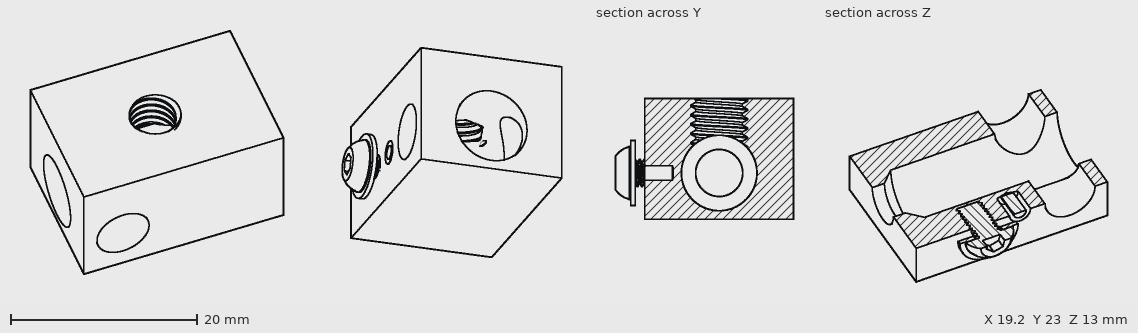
import cadquery as cq
import math

BLOCK_X = 16.0
BLOCK_Y = 23.0
BLOCK_Z = 13.0
CROSS_HEIGHT = 5.0

BORE_X = BLOCK_X / 2
BORE_LARGE_DIAMETER = 8.1
BORE_SMALL_DIAMETER = 5.04
BORE_LARGE_DEPTH = 20.0
BORE_SHOULDER_ANGLE = 90.0

CROSS_HOLE_Y = 4.5
CROSS_HOLE_DIAMETER = 6.0

TOP_HOLE_Y = 11.0
TOP_MINOR_DIAMETER = 5.04
TOP_MAJOR_DIAMETER = 6.15
TOP_PITCH = 1.0
TOP_CREST_FLAT = 0.1

SENSOR_Y = 10.5
SENSOR_DIAMETER = 1.5
SENSOR_HOLE_DIAMETER = 2.5
SENSOR_HOLE_DEPTH = 3.0
SENSOR_HOLE_END_ANGLE = 150.0

SCREW_Y = 15.0
SCREW_MAJOR_DIAMETER = 2.92
SCREW_ROOT_DIAMETER = 2.35
SCREW_PITCH = 0.5
SCREW_CREST_FLAT = SCREW_PITCH / 8
SCREW_LENGTH = 5.0
CREST_OFFSET = 0.53
HEAD_DIAMETER = 5.7
HEAD_TOP_DIAMETER = 3.6
HEAD_HEIGHT = 1.65
HEAD_RIM = 0.14
HEAD_DOME_RADIUS = 2.53
SOCKET_ACROSS_FLATS = 2.0
SOCKET_DEPTH = 1.04
SOCKET_TURN = -13.0
WASHER_DIAMETER = 7.0
WASHER_THICKNESS = 0.5
WASHER_HOLE_DIAMETER = 3.2
WASHER_GAP = 1.0

HEAD_SEAT_X = -(WASHER_GAP + WASHER_THICKNESS)
THREAD_ANGLE = 60.0
FLANK_SLOPE = math.tan(math.radians(THREAD_ANGLE / 2))
RIDGE_OVERLAP = 0.02


def rod_x(y, start_x, length, diameter):
    """Cylinder along +X at the shared cross height."""
    plane = cq.Plane(origin=(start_x, y, CROSS_HEIGHT), xDir=(0, 1, 0), normal=(1, 0, 0))
    return cq.Workplane(plane).circle(diameter / 2).extrude(length)


def cone_length(large_diameter, small_diameter, full_angle):
    return (large_diameter - small_diameter) / 2 / math.tan(math.radians(full_angle / 2))


def threaded_rod(major_diameter, root_diameter, crest_flat, pitch, start, end):
    """Right-hand threaded rod along Z from start to end, with a crest on +X at Z = 0."""
    lead_turns = math.ceil(-start / pitch) + 1
    turns = lead_turns + math.ceil(end / pitch) + 1
    foot_radius = root_diameter / 2 - RIDGE_OVERLAP
    crest_radius = major_diameter / 2
    crest_half = crest_flat / 2
    foot_half = crest_half + (crest_radius - foot_radius) * FLANK_SLOPE
    helix = cq.Wire.makeHelix(pitch, pitch * turns, crest_radius)
    profile = cq.Workplane("XZ").polyline([
        (foot_radius, -foot_half),
        (foot_radius, foot_half),
        (crest_radius, crest_half),
        (crest_radius, -crest_half),
    ]).close()
    ridge = profile.sweep(cq.Workplane(obj=helix), isFrenet=True)
    core = cq.Workplane("XY").circle(root_diameter / 2).extrude((turns + 2) * pitch)
    rod = core.translate((0, 0, -pitch)).union(ridge).translate((0, 0, -lead_turns * pitch))
    envelope = cq.Workplane("XY").workplane(offset=start).circle(major_diameter).extrude(end - start)
    return rod.intersect(envelope)


def stepped_bore():
    """Large bore from the front face, narrowing through a cone to the small bore."""
    large_radius = BORE_LARGE_DIAMETER / 2
    small_radius = BORE_SMALL_DIAMETER / 2
    cone_end = BORE_LARGE_DEPTH + cone_length(
        BORE_LARGE_DIAMETER, BORE_SMALL_DIAMETER, BORE_SHOULDER_ANGLE
    )
    section = cq.Workplane("XY").polyline([
        (0, 0),
        (large_radius, 0),
        (large_radius, BORE_LARGE_DEPTH),
        (small_radius, cone_end),
        (small_radius, BLOCK_Y),
        (0, BLOCK_Y),
    ]).close()
    return section.revolve(360, (0, 0), (0, 1)).translate((BORE_X, 0, CROSS_HEIGHT))


def top_tap():
    """Thread from the bore axis to above the top face, its crest meeting that face on +Y."""
    tap = threaded_rod(
        TOP_MAJOR_DIAMETER,
        TOP_MINOR_DIAMETER,
        TOP_CREST_FLAT,
        TOP_PITCH,
        CROSS_HEIGHT - BLOCK_Z,
        TOP_PITCH,
    )
    return tap.rotate((0, 0, 0), (0, 0, 1), 90).translate((BORE_X, TOP_HOLE_Y, BLOCK_Z))


def sensor_hole():
    """Blind hole with a shallow conical end."""
    radius = SENSOR_HOLE_DIAMETER / 2
    tip = SENSOR_HOLE_DEPTH + cone_length(SENSOR_HOLE_DIAMETER, 0, SENSOR_HOLE_END_ANGLE)
    section = cq.Workplane("XY").polyline([
        (0, 0),
        (0, radius),
        (SENSOR_HOLE_DEPTH, radius),
        (tip, 0),
    ]).close()
    return section.revolve(360, (0, 0), (1, 0)).translate((0, SENSOR_Y, CROSS_HEIGHT))


def make_shank():
    """Threaded rod along +X from under the head, with a crest straight above its axis."""
    crest_x = -CREST_OFFSET
    shank = threaded_rod(
        SCREW_MAJOR_DIAMETER,
        SCREW_ROOT_DIAMETER,
        SCREW_CREST_FLAT,
        SCREW_PITCH,
        HEAD_SEAT_X - crest_x,
        HEAD_SEAT_X + SCREW_LENGTH - crest_x,
    )
    shank = shank.rotate((0, 0, 0), (0, 1, 0), 90).rotate((0, 0, 0), (1, 0, 0), 180)
    return shank.translate((crest_x, SCREW_Y, CROSS_HEIGHT))


def make_screw(shank):
    """Domed head with a short rim and a hexagon socket, joined to the threaded shank."""
    rim_x = HEAD_SEAT_X - HEAD_RIM
    top_x = HEAD_SEAT_X - HEAD_HEIGHT
    head = (
        cq.Workplane("XY")
        .moveTo(HEAD_SEAT_X, 0)
        .lineTo(HEAD_SEAT_X, HEAD_DIAMETER / 2)
        .lineTo(rim_x, HEAD_DIAMETER / 2)
        .radiusArc((top_x, HEAD_TOP_DIAMETER / 2), -HEAD_DOME_RADIUS)
        .lineTo(top_x, 0)
        .close()
        .revolve(360, (0, 0), (1, 0))
        .translate((0, SCREW_Y, CROSS_HEIGHT))
    )
    top_plane = cq.Plane(origin=(top_x, SCREW_Y, CROSS_HEIGHT), xDir=(0, -1, 0), normal=(-1, 0, 0))
    socket = (
        cq.Workplane(top_plane)
        .transformed(rotate=(0, 0, SOCKET_TURN))
        .polygon(6, SOCKET_ACROSS_FLATS, circumscribed=True)
        .extrude(-SOCKET_DEPTH)
    )
    return head.cut(socket).union(shank)


def make_washer():
    """Flat ring against the underside of the screw head."""
    ring = rod_x(SCREW_Y, HEAD_SEAT_X, WASHER_THICKNESS, WASHER_DIAMETER)
    return ring.cut(rod_x(SCREW_Y, HEAD_SEAT_X, WASHER_THICKNESS, WASHER_HOLE_DIAMETER))


def make_sensor():
    """Flush pin whose inner end rests where the conical hole end narrows to its diameter."""
    end_length = cone_length(SENSOR_HOLE_DIAMETER, SENSOR_DIAMETER, SENSOR_HOLE_END_ANGLE)
    length = SENSOR_HOLE_DEPTH + end_length
    return rod_x(SENSOR_Y, 0, length, SENSOR_DIAMETER)


def make_block(shank):
    """Block with its holes; the screw hole is the mating thread of the shank."""
    block = cq.Workplane("XY").box(BLOCK_X, BLOCK_Y, BLOCK_Z, centered=False)
    block = block.cut(shank)
    block = block.cut(top_tap())
    block = block.cut(stepped_bore())
    block = block.cut(rod_x(CROSS_HOLE_Y, 0, BLOCK_X, CROSS_HOLE_DIAMETER))
    return block.cut(sensor_hole())


shank = make_shank()
block = make_block(shank)
screw = make_screw(shank)
washer = make_washer()
sensor = make_sensor()

result = cq.Compound.makeCompound([
    block.solids().val(),
    screw.solids().val(),
    washer.solids().val(),
    sensor.solids().val(),
])